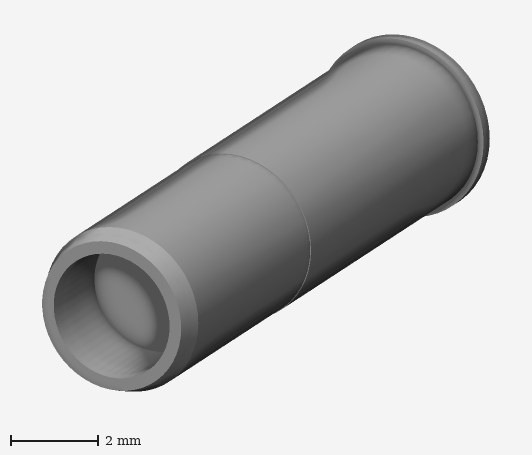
import cadquery as cq

total_length = 14.5
flange_diameter = 4.3
flange_thickness = 0.3
rear_diameter = 4.0
rear_length = 8.5
front_diameter = 3.96
nose_diameter = 3.6
nose_length = 0.5
bore_diameter = 3.0
bore_depth = 2.0

step = total_length - rear_length
flange_front = total_length - flange_thickness


def turned_body():
    """Solid of revolution: tapered nose, front barrel, rear barrel, flange."""
    profile = [
        (0, 0),
        (nose_diameter / 2, 0),
        (front_diameter / 2, nose_length),
        (front_diameter / 2, step),
        (rear_diameter / 2, step),
        (rear_diameter / 2, flange_front),
        (flange_diameter / 2, flange_front),
        (flange_diameter / 2, total_length),
        (0, total_length),
    ]
    return cq.Workplane("XY").polyline(profile).close().revolve(360, (0, 0, 0), (0, 1, 0))


def bore():
    """Flat-bottomed blind hole entering from the open end."""
    return cq.Workplane("XZ").circle(bore_diameter / 2).extrude(-bore_depth)


result = turned_body().cut(bore())